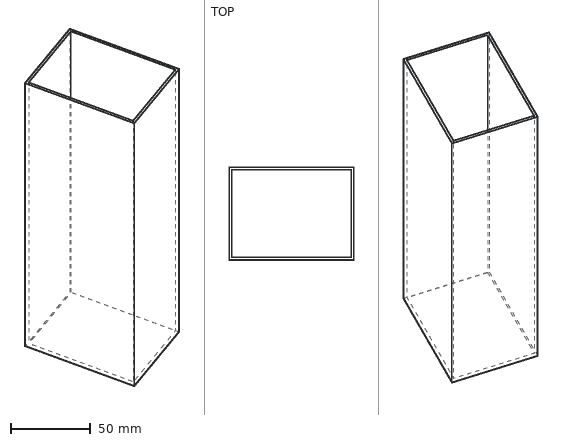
import cadquery as cq

length = 78.5
width = 58.5
height = 221.8
wall = 1.8

outer = cq.Workplane("XY").box(length, width, height, centered=(True, True, False))

cavity = (
    cq.Workplane("XY")
    .workplane(offset=wall)
    .rect(length - 2 * wall, width - 2 * wall)
    .extrude(height - wall)
)

result = outer.cut(cavity)